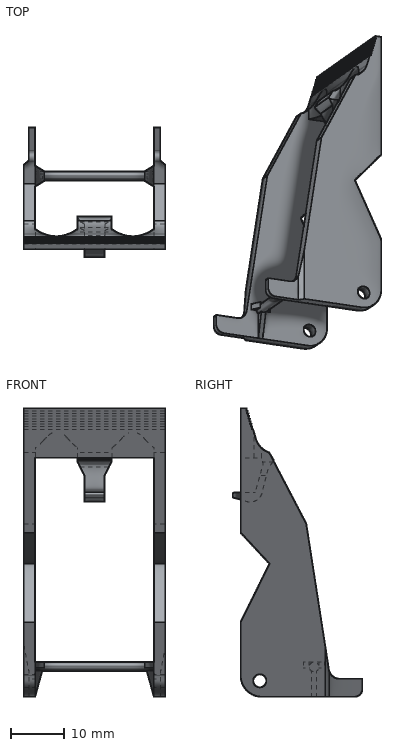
import cadquery as cq
width = 26.5
height = 54.0
depth_back = 22.8
plate_thickness = 2.15
half_width = width / 2
inner_x = half_width - plate_thickness

top_thickness = 1.2
grip_foot = (2.9, 48.2)
scoop_end = (5.35, 45.7)
back_knee = (12.3, 32.4)
heel_corner = (16.8, 3.4)
heel_radius = 2.0
tab_tip_radius = 1.5
front_corner_radius = 4.0
notch_top_z = 30.7
notch_root = (5.4, 24.9)
notch_bottom_z = 14.0

tab_outer_x = 12.3
step_start_y = 15.8
step_end_y = 16.6

hole_diameter = 2.4
hole_y = 3.6
hole_z = 3.0

beam_bottom_z = 44.7
groove_count = 8
groove_pitch = 0.49
groove_depth = 0.27
first_groove_z = 53.99
hollow_bottom_y = 2.5
hollow_edge_y = 3.85

hook_half_width = 3.2
hook_tip_half_width = 1.9
hook_taper_top_z = 44.0
hook_taper_bottom_z = 41.4
hook_back_y = 6.2
hook_back_z = 44.3
hook_tip_y = -1.5
hook_tip_top_z = 38.25
hook_tip_bottom_z = 37.15
hook_bottom_z = 36.45
hook_tip_radius = 0.45
hook_arm_back = [(5.2, 43.0), (4.1, 38.8)]
hook_arm_front = [(2.7, 38.3), (4.15, 43.5)]
hook_shoulder_mid = (5.8, 43.7)
hook_bend_mid = (3.2, 37.0)
hook_bend_end = (1.6, hook_bottom_z)
hook_root_mid = (3.9, 44.3)
hook_root_end = (3.3, beam_bottom_z)

pin_diameter = 1.8
pin_y = 13.7
pin_z = 5.65
bracket_length = 1.75
bracket_root_width = 3.9
bracket_height = 1.1
rib_width = 0.9
rib_reach = 1.5


def extrude_x(sketch, x_start, x_end):
    """Extrude a closed (y, z) sketch made on the YZ plane from x_start to x_end."""
    return sketch.extrude(x_end - x_start).translate((x_start, 0, 0))


def mirror_pair(body):
    return body.union(body.mirror("YZ"))


def make_side_plate():
    outline = (
        cq.Workplane("YZ")
        .moveTo(0, 0)
        .lineTo(0, notch_bottom_z)
        .lineTo(*notch_root)
        .lineTo(0, notch_top_z)
        .lineTo(0, height)
        .lineTo(top_thickness, height)
        .lineTo(*grip_foot)
        .tangentArcPoint(scoop_end, relative=False)
        .lineTo(*back_knee)
        .lineTo(*heel_corner)
        .lineTo(depth_back, heel_corner[1])
        .lineTo(depth_back, 0)
        .close()
    )
    plate = extrude_x(outline, inner_x, half_width)

    def round_edge(body, y, z, radius):
        nearest = cq.selectors.NearestToPointSelector((half_width - plate_thickness / 2, y, z))
        return body.edges("|X").edges(nearest).fillet(radius)

    plate = round_edge(plate, 0, 0, front_corner_radius)
    plate = round_edge(plate, depth_back, 0, tab_tip_radius)
    plate = round_edge(plate, *heel_corner, heel_radius)

    outer_step = (
        cq.Workplane("XY")
        .polyline([
            (half_width, step_start_y),
            (tab_outer_x, step_end_y),
            (tab_outer_x, depth_back),
            (half_width, depth_back),
        ])
        .close()
        .extrude(height)
    )
    hole = (
        cq.Workplane("YZ", origin=(inner_x, hole_y, hole_z))
        .circle(hole_diameter / 2)
        .extrude(plate_thickness)
    )
    return plate.cut(outer_step).cut(hole)


def make_beam():
    outline = (
        cq.Workplane("YZ")
        .moveTo(0, beam_bottom_z)
        .lineTo(0, height)
        .lineTo(top_thickness, height)
        .lineTo(*grip_foot)
        .tangentArcPoint(scoop_end, relative=False)
        .lineTo(scoop_end[0], beam_bottom_z)
        .close()
    )
    beam = extrude_x(outline, -inner_x, inner_x)

    half_chord = (inner_x - hook_half_width) / 2
    sagitta = hollow_edge_y - hollow_bottom_y
    radius = (half_chord**2 + sagitta**2) / (2 * sagitta)
    hollow = (
        cq.Workplane("XY", origin=(0, 0, beam_bottom_z))
        .moveTo(hook_half_width, hollow_edge_y)
        .radiusArc((inner_x, hollow_edge_y), -radius)
        .lineTo(inner_x, depth_back)
        .lineTo(hook_half_width, depth_back)
        .close()
        .extrude(height - beam_bottom_z)
    )
    return beam.cut(mirror_pair(hollow))


def cut_grip_grooves(body):
    """Cut horizontal sawtooth grooves into the sloping back of the beam."""
    slope = (grip_foot[0] - top_thickness) / (height - grip_foot[1])
    for index in range(groove_count):
        z_top = first_groove_z - index * groove_pitch
        z_bottom = z_top - groove_pitch
        y_top = top_thickness + slope * (height - z_top)
        y_bottom = top_thickness + slope * (height - z_bottom)
        groove = (
            cq.Workplane("YZ")
            .polyline([(y_top, z_top), (y_bottom - groove_depth, z_bottom), (y_bottom, z_bottom)])
            .close()
        )
        body = body.cut(extrude_x(groove, -half_width, half_width))
    return body


def make_hook():
    tip_start_y = hook_tip_y + hook_tip_radius
    profile = (
        cq.Workplane("YZ")
        .moveTo(hollow_bottom_y, beam_bottom_z)
        .lineTo(hollow_bottom_y, scoop_end[1])
        .lineTo(*scoop_end)
        .lineTo(hook_back_y, hook_back_z)
        .threePointArc(hook_shoulder_mid, hook_arm_back[0])
        .lineTo(*hook_arm_back[1])
        .threePointArc(hook_bend_mid, hook_bend_end)
        .lineTo(tip_start_y, hook_tip_bottom_z)
        .radiusArc((hook_tip_y, hook_tip_bottom_z + hook_tip_radius), hook_tip_radius)
        .lineTo(hook_tip_y, hook_tip_top_z - hook_tip_radius)
        .radiusArc((tip_start_y, hook_tip_top_z), hook_tip_radius)
        .lineTo(*hook_arm_front[0])
        .lineTo(*hook_arm_front[1])
        .threePointArc(hook_root_mid, hook_root_end)
        .close()
    )
    hook = extrude_x(profile, -hook_half_width, hook_half_width)
    front_outline = (
        cq.Workplane("XZ", origin=(0, depth_back, 0))
        .polyline([
            (-hook_half_width, height),
            (-hook_half_width, hook_taper_top_z),
            (-hook_tip_half_width, hook_taper_bottom_z),
            (-hook_tip_half_width, 0),
            (hook_tip_half_width, 0),
            (hook_tip_half_width, hook_taper_bottom_z),
            (hook_half_width, hook_taper_top_z),
            (hook_half_width, height),
        ])
        .close()
        .extrude(2 * depth_back)
    )
    return hook.intersect(front_outline)


def make_pin():
    sketch = cq.Workplane("YZ").center(pin_y, pin_z).circle(pin_diameter / 2)
    return extrude_x(sketch, -inner_x, inner_x)


def make_pin_support():
    """Tapered bracket and triangular rib joining one pin end to its side plate."""
    bracket_top_z = pin_z + pin_diameter / 2
    bracket_bottom_z = bracket_top_z - bracket_height
    end_x = inner_x - bracket_length
    bracket = (
        cq.Workplane("XY", origin=(0, 0, bracket_bottom_z))
        .polyline([
            (inner_x, pin_y - bracket_root_width / 2),
            (end_x, pin_y - pin_diameter / 2),
            (end_x, pin_y + pin_diameter / 2),
            (inner_x, pin_y + bracket_root_width / 2),
        ])
        .close()
        .extrude(bracket_height)
    )
    rib = (
        cq.Workplane("XZ", origin=(0, pin_y + rib_width / 2, 0))
        .polyline([(inner_x, 0), (inner_x, bracket_bottom_z), (inner_x - rib_reach, bracket_bottom_z)])
        .close()
        .extrude(rib_width)
    )
    return bracket.union(rib)


frame = mirror_pair(make_side_plate()).union(make_beam())
frame = cut_grip_grooves(frame)
result = frame.union(make_hook()).union(make_pin()).union(mirror_pair(make_pin_support()))